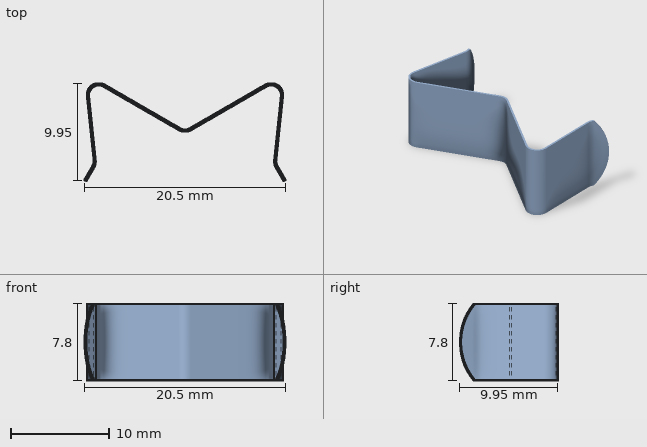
import cadquery as cq
import math

width = 7.8
thickness = 0.2
inner_radius = 1.0
bend_radius = inner_radius + thickness / 2

corner_x = 8.8
arm_slope = 30.0
leg_lean = 6.0
lip_flare = 30.0
leg_length = 6.55
lip_length = 1.62

arm_length = (corner_x - 2 * bend_radius * math.sin(math.radians(arm_slope))) / math.cos(
    math.radians(arm_slope)
)


def move(point, heading, distance):
    """Point reached by travelling a distance along a heading in degrees."""
    angle = math.radians(heading)
    return (point[0] + distance * math.cos(angle), point[1] + distance * math.sin(angle))


def straight(start, heading, length):
    """Flat piece of strip; returns the solid and its end point."""
    end = move(start, heading, length)
    outline = [
        move(start, heading + 90, thickness / 2),
        move(end, heading + 90, thickness / 2),
        move(end, heading - 90, thickness / 2),
        move(start, heading - 90, thickness / 2),
    ]
    piece = cq.Workplane("XY").polyline(outline).close().extrude(width / 2, both=True)
    return piece, end


def bend(start, heading, turn):
    """Bent piece of strip (positive turn is to the left); returns solid, end point and heading."""
    side = math.copysign(90, turn)
    axis = move(start, heading + side, bend_radius)
    outer_radius = inner_radius + thickness

    def rim(radius, fraction):
        return move(axis, heading - side + fraction * turn, radius)

    piece = (
        cq.Workplane("XY")
        .moveTo(*rim(inner_radius, 0))
        .threePointArc(rim(inner_radius, 0.5), rim(inner_radius, 1))
        .lineTo(*rim(outer_radius, 1))
        .threePointArc(rim(outer_radius, 0.5), rim(outer_radius, 0))
        .close()
        .extrude(width / 2, both=True)
    )
    return piece, rim(bend_radius, 1), heading + turn


def rounded_lip(start, heading):
    """Flat lip bounded by an arc that spans the full strip width."""
    direction = move((0, 0), heading, 1)
    normal = move((0, 0), heading - 90, 1)
    plane = cq.Plane(origin=(*start, 0), xDir=(*direction, 0), normal=(*normal, 0))
    return (
        cq.Workplane(plane)
        .moveTo(0, -width / 2)
        .threePointArc((lip_length, 0), (0, width / 2))
        .close()
        .extrude(thickness / 2, both=True)
    )


arm_heading = 180 - arm_slope
leg_heading = 270 + leg_lean
lip_heading = 270 - lip_flare

valley, point, heading = bend((0, 0), 180, arm_heading - 180)
arm, point = straight(point, heading, arm_length)
corner, point, heading = bend(point, heading, leg_heading - arm_heading)
leg, point = straight(point, heading, leg_length)
foot, point, heading = bend(point, heading, lip_heading - leg_heading)
lip = rounded_lip(point, heading)

half = valley.union(arm).union(corner).union(leg).union(foot).union(lip)
result = half.union(half.mirror("YZ"))